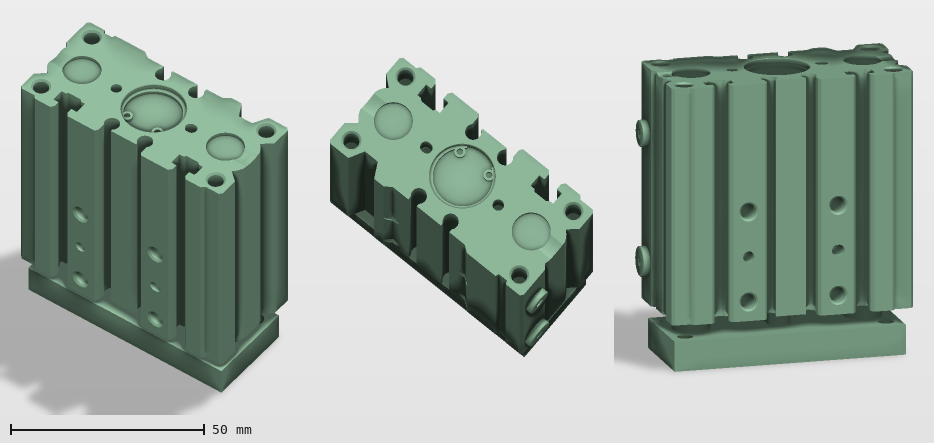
import cadquery as cq
import math

total_height = 76
plate_thickness = 8.0
plate_gap = 4.95
housing_bottom = plate_thickness + plate_gap
housing_height = total_height - housing_bottom

left_x = -32.2
right_x = 32.45
back_y = 15.0
front_y = -15.5
front_corner_y = -14.6
corner_chamfer = 0.7
back_recess_y = 13.6
front_recess_y = -13.1
back_recess_half_width = 12.0
back_shoulder_half_width = 13.9

notch_edge_y = 8.5
notch_x = 29.6
notch_y = 6.1
lobe_bulge_x = 31.0
lobe_bulge_y = 4.4
lobe_half_width = 31.55
lobe_flat_y = 3.1
left_back_land_y = 5.55
left_back_notch_x = 31.15
left_back_notch_y = 4.3

rod_diameter = 10.0
rod_x = 23.0
rod_recess_depth = 1.15
breather_width = 5.0
breather_depth = 0.45

sensor_slot_diameter = 4.2
sensor_slot_x = 5.3
sensor_slot_back_y = 11.2
sensor_slot_front_y = -10.9
sensor_neck_inner_x = 4.0
sensor_neck_outer_x = 6.85

t_slot_x = 18.9
t_slot_width = 7.5
t_slot_neck_width = 4.1
t_slot_shoulder_y = -12.85
t_slot_floor_y = -9.3
t_slot_crown_y = -8.7
t_slot_crown_width = 3.8
front_land_edge_x = 26.6
t_slot_lip_chamfer = 0.75
recess_lip_chamfer = 0.6
lip_chamfer_height = 0.9

shallow_groove_x = -25.15
shallow_groove_width = 3.35
shallow_groove_depth = 0.9
shallow_groove_slope = 0.3
vee_groove_x = 21.4
vee_groove_top_width = 8.7
vee_groove_floor_width = 4.25
vee_groove_depth = 4.1

bore_diameter = 17.0
bore_mouth_diameter = 17.3
bore_depth = 2.5
ring_thickness = 1.0
ring_inner_diameter = 15.5
ring_inner_shift = -0.2
ring_gap_half_angle = 31
lug_x = 4.9
lug_y = -4.95
lug_diameter = 3.0
lug_hole_diameter = 1.7

drill_tip_angle = 118
corner_hole_diameter = 4.2
corner_hole_mouth = 5.25
corner_hole_depth = 10.0
corner_hole_x = 28.05
corner_hole_y = 10.95
mount_hole_diameter = 4.1
mount_hole_mouth = 5.1
hole_x = 12.0
mount_hole_pitch = 24.0
dowel_z = 30.0
dowel_diameter = 3.0
dowel_depth = 6.0
dowel_slot_length = 3.35

plug_y = 9.9
plug_length = 1.8
plug_hex_diameter = 2.7
plug_hex_depth = 1.5
plug_pilot_diameter = 1.8
plug_chamfer = 0.15
plugs = [(58.1, 7.1), (23.95, 8.0)]

plate_length = 62.0
plate_width = 24.9
plate_hole_diameter = 4.2
plate_hole_x = 27.0
plate_hole_y = 8.0
piston_rod_diameter = 8.0
piston_flats_width = 6.0
piston_flats_gap = 2.0


def prism(points):
    return (
        cq.Workplane("XY").workplane(offset=housing_bottom)
        .polyline(points).close().extrude(housing_height)
    )


def profiled_block():
    land_slope = front_corner_y - front_y
    c = corner_chamfer
    outline = (
        cq.Workplane("XY").workplane(offset=housing_bottom)
        .moveTo(left_x, back_y - c)
        .lineTo(left_x + c, back_y)
        .lineTo(-back_shoulder_half_width, back_y)
        .lineTo(-back_recess_half_width, back_recess_y)
        .lineTo(back_recess_half_width, back_recess_y)
        .lineTo(back_shoulder_half_width, back_y)
        .lineTo(right_x - c, back_y)
        .lineTo(right_x, back_y - c)
        .lineTo(right_x, notch_edge_y)
        .lineTo(notch_x, notch_y)
        .threePointArc((lobe_bulge_x, lobe_bulge_y), (lobe_half_width, lobe_flat_y))
        .lineTo(lobe_half_width, -lobe_flat_y)
        .threePointArc((lobe_bulge_x, -lobe_bulge_y), (notch_x, -notch_y))
        .lineTo(right_x, -notch_edge_y)
        .lineTo(right_x, front_corner_y + c)
        .lineTo(right_x - c, front_corner_y)
        .lineTo(front_land_edge_x + land_slope, front_corner_y)
        .lineTo(front_land_edge_x, front_y)
        .lineTo(-front_land_edge_x, front_y)
        .lineTo(-front_land_edge_x - land_slope, front_corner_y)
        .lineTo(left_x + c, front_corner_y)
        .lineTo(left_x, front_corner_y + c)
        .lineTo(left_x, -notch_edge_y)
        .lineTo(-notch_x, -notch_y)
        .threePointArc((-lobe_bulge_x, -lobe_bulge_y), (-lobe_half_width, -lobe_flat_y))
        .lineTo(-lobe_half_width, lobe_flat_y)
        .lineTo(-left_back_notch_x, left_back_notch_y)
        .lineTo(left_x, left_back_land_y)
        .close()
    )
    return outline.extrude(housing_height)


def t_slot(x):
    half_neck = t_slot_neck_width / 2
    half_slot = t_slot_width / 2
    half_crown = t_slot_crown_width / 2
    crown_rise = t_slot_crown_y - t_slot_floor_y
    right_side = [
        (half_neck + t_slot_lip_chamfer, front_y),
        (half_neck, front_y + lip_chamfer_height),
        (half_neck, t_slot_shoulder_y),
        (half_slot, t_slot_shoulder_y),
        (half_slot, t_slot_floor_y),
        (half_crown + crown_rise, t_slot_floor_y),
        (half_crown, t_slot_crown_y),
    ]
    left_side = [(-px, py) for px, py in reversed(right_side)]
    return prism([(x + px, py) for px, py in right_side + left_side])


def front_recess():
    """Wide recess in front of the bore, with bevelled lips and a rib standing in its middle."""
    lip_x = sensor_neck_outer_x + recess_lip_chamfer
    return prism([
        (-lip_x, front_y),
        (-sensor_neck_outer_x, front_y + lip_chamfer_height),
        (-sensor_neck_outer_x, front_recess_y),
        (sensor_neck_outer_x, front_recess_y),
        (sensor_neck_outer_x, front_y + lip_chamfer_height),
        (lip_x, front_y),
    ])


def sensor_slot(side, channel_y, mouth_y):
    channel = (
        cq.Workplane("XY").workplane(offset=housing_bottom)
        .center(side * sensor_slot_x, channel_y)
        .circle(sensor_slot_diameter / 2).extrude(housing_height)
    )
    neck = prism([
        (side * sensor_neck_inner_x, channel_y),
        (side * sensor_neck_outer_x, channel_y),
        (side * sensor_neck_outer_x, mouth_y),
        (side * sensor_neck_inner_x, mouth_y),
    ])
    return channel.union(neck)


def back_groove(x, top_width, floor_width, depth):
    return prism([
        (x - top_width / 2, back_y),
        (x + top_width / 2, back_y),
        (x + floor_width / 2, back_y - depth),
        (x - floor_width / 2, back_y - depth),
    ])


def drill(diameter, depth):
    """Drill pointing down from z = 0, with a conical tip below the full-diameter depth."""
    radius = diameter / 2
    tip = radius / math.tan(math.radians(drill_tip_angle / 2))
    return (
        cq.Workplane("XZ")
        .polyline([(0, 0), (radius, 0), (radius, -depth), (0, -depth - tip)]).close()
        .revolve(360, (0, 0, 0), (0, 1, 0))
    )


def countersink(diameter, mouth):
    """Bevel from the mouth diameter at z = 0 down to the hole diameter, at 45 degrees."""
    depth = (mouth - diameter) / 2
    return cq.Workplane(cq.Solid.makeCone(diameter / 2, mouth / 2, depth)).translate((0, 0, -depth))


def dowel_hole():
    return drill(dowel_diameter, dowel_depth)


def dowel_slot():
    """Dowel hole stretched along x, with a single drill tip in the middle."""
    slot = cq.Workplane("XY").slot2D(dowel_slot_length, dowel_diameter).extrude(-dowel_depth)
    return slot.union(dowel_hole())


def on_front(tool):
    """Turn a tool that points down so that it enters the front face, pointing to +y."""
    return tool.rotate((0, 0, 0), (1, 0, 0), 90)


def cut_rod_bores(body):
    sag_radius = ((breather_width / 2) ** 2 + breather_depth**2) / (2 * breather_depth)
    for side in (-1, 1):
        x = side * rod_x
        bore = (
            cq.Workplane("XY").workplane(offset=housing_bottom)
            .center(x, 0).circle(rod_diameter / 2).extrude(housing_height)
        )
        breather = (
            cq.Workplane("YZ").workplane(offset=x)
            .center(0, total_height - breather_depth + sag_radius)
            .circle(sag_radius).extrude(side * (right_x - rod_x))
        )
        body = body.cut(bore).cut(breather)
    return body


def cut_cap_bore(body):
    bore = (
        cq.Workplane("XY").workplane(offset=total_height)
        .circle(bore_diameter / 2).extrude(-bore_depth)
    )
    mouth = countersink(bore_diameter, bore_mouth_diameter).translate((0, 0, total_height))
    return body.cut(bore).cut(mouth)


def cut_drilled_holes(body):
    corner_tool = drill(corner_hole_diameter, corner_hole_depth)
    corner_tool = corner_tool.union(countersink(corner_hole_diameter, corner_hole_mouth))
    mount_tool = cq.Workplane("XY").circle(mount_hole_diameter / 2).extrude(front_y - back_y)
    mount_tool = on_front(mount_tool.union(countersink(mount_hole_diameter, mount_hole_mouth)))
    for side in (-1, 1):
        for y in (-corner_hole_y, corner_hole_y):
            body = body.cut(corner_tool.translate((side * corner_hole_x, y, total_height)))
        for z in (dowel_z - mount_hole_pitch / 2, dowel_z + mount_hole_pitch / 2):
            body = body.cut(mount_tool.translate((side * hole_x, front_y, z)))
    for x, tool in ((-hole_x, dowel_hole()), (hole_x, dowel_slot())):
        body = body.cut(tool.translate((x, 0, total_height)))
        body = body.cut(on_front(tool).translate((x, front_y, dowel_z)))
    return body


def on_left(tool):
    """Turn a tool that points down so that it enters the left side, pointing to +x."""
    return tool.rotate((0, 0, 0), (0, 1, 0), -90)


def add_plugs(body):
    socket = cq.Workplane("XY").polygon(6, plug_hex_diameter).extrude(-plug_hex_depth)
    socket = on_left(socket.union(drill(plug_pilot_diameter, plug_hex_depth)))
    for z, diameter in plugs:
        head = cq.Workplane("XY").circle(diameter / 2).extrude(-plug_length)
        head = on_left(head.faces(">Z").chamfer(plug_chamfer))
        place = (left_x - plug_length, plug_y, z)
        body = body.union(head.translate(place)).cut(socket.translate(place))
    return body


def make_housing():
    body = profiled_block().cut(front_recess())
    for side in (-1, 1):
        body = body.cut(t_slot(side * t_slot_x))
        body = body.cut(sensor_slot(side, sensor_slot_back_y, back_y))
        body = body.cut(sensor_slot(side, sensor_slot_front_y, front_y))
    shallow_floor = shallow_groove_width - 2 * shallow_groove_slope
    body = body.cut(back_groove(shallow_groove_x, shallow_groove_width, shallow_floor, shallow_groove_depth))
    body = body.cut(back_groove(vee_groove_x, vee_groove_top_width, vee_groove_floor_width, vee_groove_depth))
    body = cut_rod_bores(body)
    body = cut_cap_bore(body)
    body = cut_drilled_holes(body)
    return add_plugs(body)


def make_moving_plate():
    """End plate with both guide rods and the piston rod, which has wrench flats facing +x and -x."""
    plate = cq.Workplane("XY").box(plate_length, plate_width, plate_thickness, centered=(True, True, False))
    holes = (
        cq.Workplane("XY")
        .rect(2 * plate_hole_x, 2 * plate_hole_y, forConstruction=True).vertices()
        .circle(plate_hole_diameter / 2).extrude(plate_thickness)
    )
    plate_top = cq.Workplane("XY").workplane(offset=plate_thickness)
    guide_rods = (
        plate_top.pushPoints([(-rod_x, 0), (rod_x, 0)])
        .circle(rod_diameter / 2)
        .extrude(total_height - rod_recess_depth - plate_thickness)
    )
    piston_rod = plate_top.circle(piston_rod_diameter / 2).extrude(plate_gap)
    flat_depth = (piston_rod_diameter - piston_flats_width) / 2
    flat_x = (piston_flats_width + flat_depth) / 2
    flats = (
        plate_top.pushPoints([(-flat_x, 0), (flat_x, 0)])
        .rect(flat_depth, piston_rod_diameter).extrude(plate_gap - piston_flats_gap)
    )
    piston_rod = piston_rod.cut(flats)
    return plate.cut(holes).union(guide_rods).union(piston_rod)


def make_retaining_ring():
    """Open ring on the bore floor, thinning towards its gap, with an eyelet at each side of its gap."""
    base = cq.Workplane("XY").workplane(offset=total_height - bore_depth)
    gap_reach = bore_diameter
    gap_half_width = gap_reach * math.tan(math.radians(ring_gap_half_angle))
    gap = (
        base.polyline([(0, 0), (-gap_half_width, -gap_reach), (gap_half_width, -gap_reach)])
        .close().extrude(ring_thickness)
    )
    lug_places = [(-lug_x, lug_y), (lug_x, lug_y)]
    lugs = base.pushPoints(lug_places).circle(lug_diameter / 2).extrude(ring_thickness)
    lug_holes = base.pushPoints(lug_places).circle(lug_hole_diameter / 2).extrude(ring_thickness)
    opening = base.center(0, ring_inner_shift).circle(ring_inner_diameter / 2).extrude(ring_thickness)
    hoop = base.circle(bore_diameter / 2).extrude(ring_thickness)
    return hoop.cut(opening).cut(gap).union(lugs).cut(lug_holes)


housing = make_housing()
moving_plate = make_moving_plate()
retaining_ring = make_retaining_ring()

result = cq.Compound.makeCompound([housing.val(), moving_plate.val(), retaining_ring.val()])